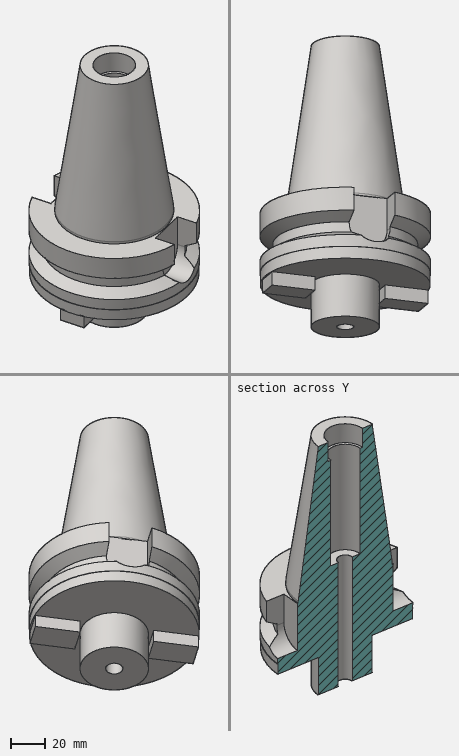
import cadquery as cq

overall_height = 172.8
flange_bottom = 26.0
rim_step = 33.2
rim_top = 40.5
groove_floor_bottom = 44.5
groove_floor_top = 50.8
upper_rim_bottom = 55.5
flange_top = 69.6
gauge_height = 71.2

pilot_radius = 20.0
flange_diameter = 100.0
flange_radius = flange_diameter / 2
lower_rim_radius = 49.8
groove_radius = 42.5
gauge_radius = 34.9
taper_tip_radius = 20.0

through_radius = 5.0
inner_bore_radius = 10.7
mouth_radius = 12.5
mouth_depth = 13.1
inner_bore_depth = 86.4

slot_width = 25.5
slot_floor = 35.5
slot_bottom = 37.2

key_width = 16.0
key_height = 8.3
key_inner = 22.0
key_outer = 48.7


def turned_body():
    """Pilot, grooved flange and tapered shank as one revolved outline."""
    outline = [
        (0, 0),
        (pilot_radius, 0),
        (pilot_radius, flange_bottom),
        (lower_rim_radius, flange_bottom),
        (lower_rim_radius, rim_step),
        (flange_radius, rim_step),
        (flange_radius, rim_top),
        (groove_radius, groove_floor_bottom),
        (groove_radius, groove_floor_top),
        (flange_radius, upper_rim_bottom),
        (flange_radius, flange_top),
        (gauge_radius, flange_top),
        (gauge_radius, gauge_height),
        (taper_tip_radius, overall_height),
        (0, overall_height),
    ]
    return cq.Workplane("XZ").polyline(outline).close().revolve(360, (0, 0), (0, 1))


def bore(radius, depth):
    """Cylinder going down from the small end of the taper."""
    top = cq.Workplane("XY").workplane(offset=overall_height)
    return top.circle(radius).extrude(-depth)


def drive_slot(side):
    """Round-ended slot, open at the flange top and at its outer side."""
    slot_radius = slot_width / 2
    arc_center = slot_bottom + slot_radius
    return (
        cq.Workplane("YZ")
        .workplane(offset=side * slot_floor)
        .moveTo(-slot_radius, flange_top)
        .lineTo(-slot_radius, arc_center)
        .threePointArc((0, slot_bottom), (slot_radius, arc_center))
        .lineTo(slot_radius, flange_top)
        .close()
        .extrude(side * (flange_radius - slot_floor))
    )


def drive_key(side):
    """Rectangular block hanging from the flange underside."""
    length = key_outer - key_inner
    center = side * (key_inner + length / 2)
    return (
        cq.Workplane("XY")
        .workplane(offset=flange_bottom)
        .center(0, center)
        .rect(key_width, length)
        .extrude(-key_height)
    )


result = turned_body()
for side in (-1, 1):
    result = result.cut(drive_slot(side)).union(drive_key(side))

result = result.cut(bore(mouth_radius, mouth_depth))
result = result.cut(bore(inner_bore_radius, inner_bore_depth))
result = result.cut(bore(through_radius, overall_height))